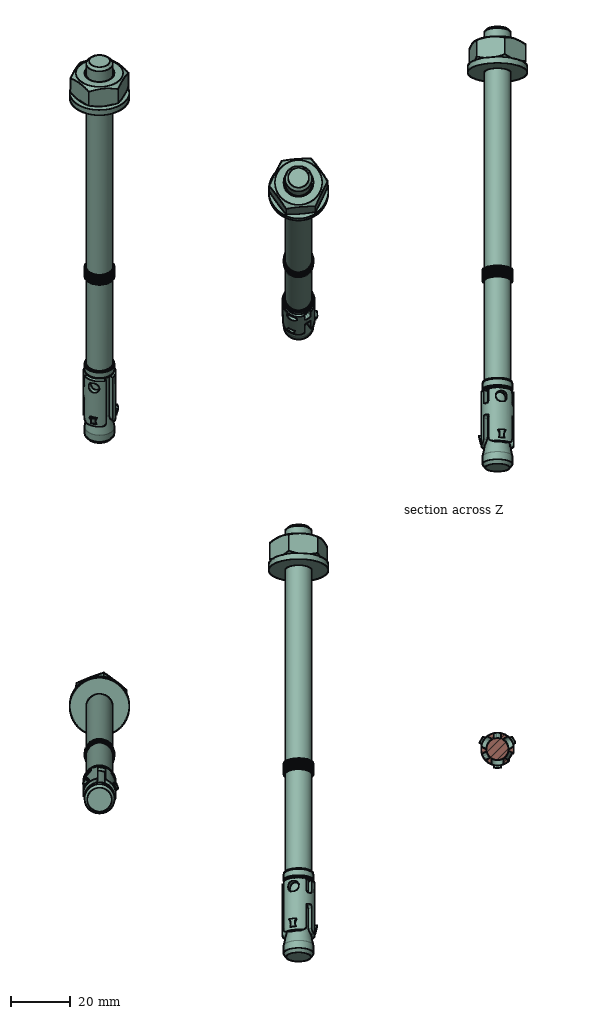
import cadquery as cq
import math

total_height = 155
tip_chamfer_top = 1.2
tip_cylinder_top = 4.0
cone_top = 10.2
sleeve_bottom = 7.8
sleeve_top = 26.5
collar_bottom = 27.1
collar_top = 30.2
washer_bottom = 139.8
washer_thickness = 2.2
washer_top = washer_bottom + washer_thickness
nut_height = 8.0

shaft_diameter = 9.0
neck_diameter = 7.5
tip_diameter = 10.0
tip_end_diameter = 8.2
collar_chamfer_height = 0.5
collar_chamfer_inset = 0.2
end_chamfer = 1.0

band_bottom = 66.0
band_height = 3.9
band_diameter = tip_diameter
knurl_depth = 0.3
knurl_count = 60

washer_diameter = 20.0
nut_sides = 6
nut_across_flats = 17.0
nut_across_corners = nut_across_flats / math.cos(math.pi / nut_sides)
nut_face_diameter = 15.8
nut_chamfer_angle = 30
nut_countersink_diameter = 10.0

sleeve_diameter = 11.0
segment_angles = (30, 150, 270)
slot_angles = (90, 210)
split_angle = 330
slot_width = 2.3
split_width = 2.6
slot_corner_radius = 0.8
upper_slot_bottom = 21.5
lower_slot_top = 17.5
flare_radius = 1.5
hole_diameter = 3.9
hole_height = 23.5
tab_bottom = 8.8
tab_top = 11.5
tab_bottom_radius = 5.7
tab_top_radius = 6.4
tab_top_width = 2.5
tab_waist_width = 1.5
tab_bottom_width = 2.0


def cylinder(diameter, bottom, top):
    return cq.Workplane("XY").workplane(offset=bottom).circle(diameter / 2).extrude(top - bottom)


def revolve_profile(points):
    """Turn a closed outline of (radius, height) points about the bolt axis."""
    return cq.Workplane("XZ").polyline(points).close().revolve(360, (0, 0, 0), (0, 1, 0))


def radial_plane(angle):
    """Plane through the bolt axis whose normal points outward at the given angle; local Y is Z."""
    direction = math.radians(angle)
    outward = (math.cos(direction), math.sin(direction), 0)
    tangent = (-math.sin(direction), math.cos(direction), 0)
    return cq.Workplane(cq.Plane(origin=(0, 0, 0), xDir=tangent, normal=outward))


def make_bolt():
    shaft_radius = shaft_diameter / 2
    neck_radius = neck_diameter / 2
    tip_radius = tip_diameter / 2
    profile = [
        (0, 0),
        (tip_end_diameter / 2, 0),
        (tip_radius, tip_chamfer_top),
        (tip_radius, tip_cylinder_top),
        (neck_radius, cone_top),
        (neck_radius, collar_bottom),
        (tip_radius - collar_chamfer_inset, collar_bottom),
        (tip_radius, collar_bottom + collar_chamfer_height),
        (tip_radius, collar_top - collar_chamfer_height),
        (tip_radius - collar_chamfer_inset, collar_top),
        (shaft_radius, collar_top),
        (shaft_radius, total_height - end_chamfer),
        (shaft_radius - end_chamfer, total_height),
        (0, total_height),
    ]
    return revolve_profile(profile)


def make_knurled_band():
    points = []
    for i in range(2 * knurl_count):
        radius = band_diameter / 2 - knurl_depth * (i % 2)
        angle = math.pi * i / knurl_count
        points.append((radius * math.cos(angle), radius * math.sin(angle)))
    return cq.Workplane("XY").workplane(offset=band_bottom).polyline(points).close().extrude(band_height)


def make_washer():
    return cylinder(washer_diameter, washer_bottom, washer_top)


def make_nut():
    """Hexagon with corners on the Y axis, both ends turned down to a cone."""
    nut_top = washer_top + nut_height
    hexagon = (
        cq.Workplane("XY")
        .workplane(offset=washer_top)
        .polygon(nut_sides, nut_across_corners)
        .extrude(nut_height)
        .rotate((0, 0, 0), (0, 0, 1), 180 / nut_sides)
    )
    corner_radius = nut_across_corners / 2
    face_radius = nut_face_diameter / 2
    drop = (corner_radius - face_radius) * math.tan(math.radians(nut_chamfer_angle))
    envelope_profile = [
        (0, washer_top),
        (face_radius, washer_top),
        (corner_radius, washer_top + drop),
        (corner_radius, nut_top - drop),
        (face_radius, nut_top),
        (0, nut_top),
    ]
    envelope = revolve_profile(envelope_profile)
    mouth_radius = nut_countersink_diameter / 2
    countersink = revolve_profile([(0, nut_top - mouth_radius), (mouth_radius, nut_top), (0, nut_top)])
    return hexagon.intersect(envelope).cut(countersink)


def flared_foot(angle, width):
    """Cutter that rounds off both sleeve corners where a slot opens at the bottom."""
    half_slot = width / 2
    half_mouth = half_slot + flare_radius
    tangent_height = sleeve_bottom + flare_radius
    bend = flare_radius * (1 - math.sqrt(0.5))
    return (
        radial_plane(angle)
        .moveTo(-half_mouth, sleeve_bottom)
        .threePointArc((-half_slot - bend, sleeve_bottom + bend), (-half_slot, tangent_height))
        .lineTo(half_slot, tangent_height)
        .threePointArc((half_slot + bend, sleeve_bottom + bend), (half_mouth, sleeve_bottom))
        .close()
        .extrude(sleeve_diameter)
    )


def slot(angle, width, bottom, top):
    middle = (bottom + top) / 2
    return radial_plane(angle).center(0, middle).rect(width, top - bottom).extrude(sleeve_diameter)


def round_slot_end(slot_cutter, angle, end):
    """Round the two radial edges at one closed end of a slot cutter."""
    outward = radial_plane(angle).plane.zDir
    radial_edges = cq.selectors.ParallelDirSelector(outward)
    return slot_cutter.faces(end).edges(radial_edges).fillet(slot_corner_radius)


def make_tab(angle):
    """Locking tab: a wedge leaning outward towards its top, narrowed to a waist at mid height."""
    wedge_ring = revolve_profile([
        (0, tab_bottom),
        (tab_bottom_radius, tab_bottom),
        (tab_top_radius, tab_top),
        (0, tab_top),
    ])
    half_top = tab_top_width / 2
    half_waist = tab_waist_width / 2
    half_bottom = tab_bottom_width / 2
    waist_height = (tab_bottom + tab_top) / 2
    outline = (
        radial_plane(angle)
        .moveTo(-half_bottom, tab_bottom)
        .lineTo(half_bottom, tab_bottom)
        .threePointArc((half_waist, waist_height), (half_top, tab_top))
        .lineTo(-half_top, tab_top)
        .threePointArc((-half_waist, waist_height), (-half_bottom, tab_bottom))
        .close()
        .extrude(sleeve_diameter)
    )
    return wedge_ring.intersect(outline)


def make_sleeve():
    sleeve = cylinder(sleeve_diameter, sleeve_bottom, sleeve_top)
    for angle in slot_angles:
        upper_slot = slot(angle, slot_width, upper_slot_bottom, sleeve_top)
        lower_slot = slot(angle, slot_width, sleeve_bottom, lower_slot_top)
        upper_slot = round_slot_end(upper_slot, angle, "<Z")
        lower_slot = round_slot_end(lower_slot, angle, ">Z")
        sleeve = sleeve.cut(upper_slot).cut(lower_slot).cut(flared_foot(angle, slot_width))
    split = slot(split_angle, split_width, sleeve_bottom, sleeve_top)
    sleeve = sleeve.cut(split).cut(flared_foot(split_angle, split_width))
    for angle in segment_angles:
        hole = radial_plane(angle).center(0, hole_height).circle(hole_diameter / 2).extrude(sleeve_diameter)
        sleeve = sleeve.cut(hole).union(make_tab(angle))
    return sleeve


bolt = make_bolt().union(make_knurled_band())
result = make_sleeve().union(bolt).union(make_washer()).union(make_nut())